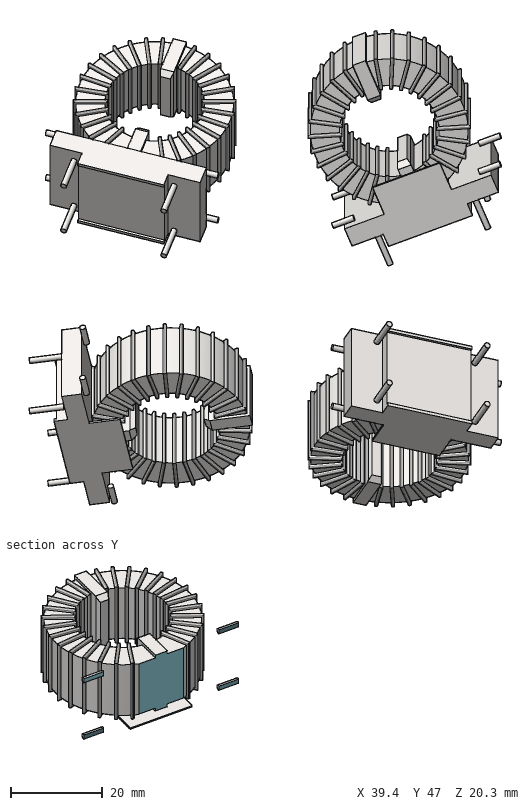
import cadquery as cq


CORE_OUTER_RADIUS = 17.2
CORE_INNER_RADIUS = 10.85
CORE_HEIGHT = 13.75

WIRE_WIDTH = 0.75
WIRE_HEIGHT = 0.75
WIRE_STANDOFF = 0.55
WIRE_FILLET = 0.3
WIRE_EMBED = 0.15
TURN_PITCH = 12
TURNS_PER_SIDE = 13
WINDING_HEIGHT = CORE_HEIGHT + 2 * WIRE_HEIGHT
WINDING_RADIUS = CORE_OUTER_RADIUS + WIRE_STANDOFF

BAR_WIDTH = 3.05
BAR_OUTER_END = 17.8
BAR_INNER_END = 7.6
BAR_SIDE_BEVEL = 0.4
BAR_SIDE_BEVEL_LENGTH = 1.1
BAR_FACE_BEVEL = 1.1
BAR_FACE_BEVEL_LENGTH = 1.3

BASE_WIDTH = 2 * CORE_OUTER_RADIUS
BASE_HEIGHT = 20.3
BASE_BACK_Y = -16.65
BASE_THICKNESS = 4.4
STEP_WIDTH = 19.75
STEP_THICKNESS = 2.5
LIP_HEIGHT = 0.75
LIP_PROJECTION = 0.55
TAB_WIDTH = 15.8
TAB_LENGTH = 6.8
TAB_THICKNESS = 0.45
BASE_FRONT_Y = BASE_BACK_Y - BASE_THICKNESS
STEP_FRONT_Y = BASE_FRONT_Y - STEP_THICKNESS

PIN_RADIUS = 0.65
PIN_Z = 7.65
FRONT_PIN_X = 11.45
FRONT_PIN_LENGTH = 7.55
SIDE_PIN_LENGTH = 5.0
OVERALL_WIDTH = 39.4
OVERALL_DEPTH = 47.0
FRONT_PIN_TIP_Y = BAR_OUTER_END - OVERALL_DEPTH
SIDE_PIN_TIP_X = OVERALL_WIDTH / 2
SIDE_PIN_Y = BASE_BACK_Y + PIN_RADIUS


def box_between(x_range, y_range, z_range):
    """Axis-aligned box given by its limits along each axis."""
    size = [high - low for low, high in (x_range, y_range, z_range)]
    corner = (x_range[0], y_range[0], z_range[0])
    return cq.Workplane("XY").box(*size, centered=False).translate(corner)


def centered_range(size):
    return (-size / 2, size / 2)


def make_core():
    return (
        cq.Workplane("XY")
        .circle(CORE_OUTER_RADIUS)
        .circle(CORE_INNER_RADIUS)
        .extrude(CORE_HEIGHT / 2, both=True)
    )


def make_turn(angle):
    """One loop of wire around the core section, turned about Z by the angle."""
    inner_radius = CORE_INNER_RADIUS - WIRE_STANDOFF
    loop = box_between(
        (inner_radius, WINDING_RADIUS),
        centered_range(WIRE_WIDTH),
        centered_range(WINDING_HEIGHT),
    )
    loop = loop.faces("<Y or >Y").edges().fillet(WIRE_FILLET)
    window = box_between(
        (CORE_INNER_RADIUS + WIRE_EMBED, CORE_OUTER_RADIUS - WIRE_EMBED),
        centered_range(2 * WIRE_WIDTH),
        centered_range(CORE_HEIGHT - 2 * WIRE_EMBED),
    )
    return loop.cut(window).rotate((0, 0, 0), (0, 0, 1), angle)


def make_spacer_bar(outer_end):
    """Bar on the +Y side, from its bevelled tip inside the ring to the outer end."""
    half_width = BAR_WIDTH / 2
    half_height = WINDING_HEIGHT / 2
    tip_half_width = half_width - BAR_SIDE_BEVEL
    tip_half_height = half_height - BAR_FACE_BEVEL
    side_bevel_y = BAR_INNER_END + BAR_SIDE_BEVEL_LENGTH
    face_bevel_y = BAR_INNER_END + BAR_FACE_BEVEL_LENGTH
    plan = (
        cq.Workplane("XY")
        .polyline([
            (-half_width, outer_end),
            (-half_width, side_bevel_y),
            (-tip_half_width, BAR_INNER_END),
            (tip_half_width, BAR_INNER_END),
            (half_width, side_bevel_y),
            (half_width, outer_end),
        ])
        .close()
        .extrude(half_height, both=True)
    )
    profile = (
        cq.Workplane("YZ")
        .polyline([
            (outer_end, -half_height),
            (face_bevel_y, -half_height),
            (BAR_INNER_END, -tip_half_height),
            (BAR_INNER_END, tip_half_height),
            (face_bevel_y, half_height),
            (outer_end, half_height),
        ])
        .close()
        .extrude(half_width, both=True)
    )
    return plan.intersect(profile)


def make_base():
    bottom_z, top_z = centered_range(BASE_HEIGHT)
    height = (bottom_z, top_z)
    plate = box_between(centered_range(BASE_WIDTH), (BASE_FRONT_Y, BASE_BACK_Y), height)
    step = box_between(centered_range(STEP_WIDTH), (STEP_FRONT_Y, BASE_FRONT_Y), height)
    base = plate.union(step)
    for lip_z in ((bottom_z, bottom_z + LIP_HEIGHT), (top_z - LIP_HEIGHT, top_z)):
        lip_y = (STEP_FRONT_Y - LIP_PROJECTION, STEP_FRONT_Y)
        base = base.union(box_between(centered_range(STEP_WIDTH), lip_y, lip_z))
    tab = box_between(
        centered_range(TAB_WIDTH),
        (BASE_BACK_Y, BASE_BACK_Y + TAB_LENGTH),
        (bottom_z, bottom_z + TAB_THICKNESS),
    )
    return base.union(tab)


def make_choke():
    """Core, windings, spacer bars and base as a single solid."""
    choke = make_core()
    for turn in range(1, TURNS_PER_SIDE + 1):
        for side in (-1, 1):
            choke = choke.union(make_turn(90 + side * turn * TURN_PITCH))
    far_bar = make_spacer_bar(BAR_OUTER_END)
    base_bar = make_spacer_bar(-BASE_BACK_Y).mirror("XZ")
    return choke.union(far_bar).union(base_bar).union(make_base())


def make_pin(tip, direction, length):
    """Round pin running from its tip along the direction."""
    return cq.Solid.makeCylinder(PIN_RADIUS, length, cq.Vector(*tip), cq.Vector(*direction))


choke = make_choke()

front_pins = []
side_pins = []
for side in (-1, 1):
    for pin_z in (-PIN_Z, PIN_Z):
        front_tip = (side * FRONT_PIN_X, FRONT_PIN_TIP_Y, pin_z)
        front_pins.append(make_pin(front_tip, (0, 1, 0), FRONT_PIN_LENGTH))
        side_tip = (side * SIDE_PIN_TIP_X, SIDE_PIN_Y, pin_z)
        side_pins.append(make_pin(side_tip, (-side, 0, 0), SIDE_PIN_LENGTH))

result = cq.Compound.makeCompound([choke.val(), *front_pins, *side_pins])